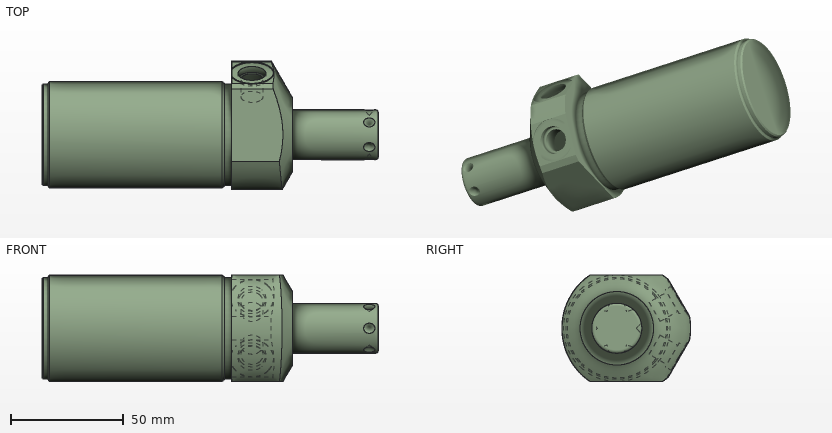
import cadquery as cq
import math

body_radius = 23.62
neck_radius = 22.6
rear_face_radius = 22.0
rear_chamfer_length = 0.6
rear_lip_end = 2.5
body_start = 3.2
body_end = 79.7
groove_start = 80.9

head_start = 84.0
head_end = 111.0
head_radius = 28.575
head_offset_y = 4.191
flat_distance = 23.685
nose_radius = 16.3
nose_half_angle = 60.0

port_angle = 30.0
port_x = 93.0
spotface_radius = 9.5
spotface_depth = 0.4
counterbore_radius = 6.15
counterbore_depth = 3.0
port_radius = 4.9
port_depth = 12.0
port_flat_distance = math.sqrt(head_radius**2 - spotface_radius**2)

rod_radius = 11.1
rod_end = 149.0
rod_tip_fillet = 1.3
dimple_x = 145.0
dimple_radius = 2.5
dimple_cone_angle = 90.0
dimple_count = 6

clearance = 1.0


def make_body():
    profile = [
        (0, 0),
        (0, rear_face_radius),
        (rear_chamfer_length, neck_radius),
        (rear_lip_end, neck_radius),
        (body_start, body_radius),
        (body_end, body_radius),
        (groove_start, neck_radius),
        (head_start, neck_radius),
        (head_start, 0),
    ]
    return cq.Workplane("XY").polyline(profile).close().revolve(360, (0, 0, 0), (1, 0, 0))


def port_frame(side):
    """Workplane centred on the tilted flat, facing outward; side is 1 (upper) or -1 (lower)."""
    angle = math.radians(port_angle)
    normal = (0, math.cos(angle), side * math.sin(angle))
    origin = (
        port_x,
        head_offset_y + port_flat_distance * normal[1],
        port_flat_distance * normal[2],
    )
    return cq.Workplane(cq.Plane(origin=origin, xDir=(1, 0, 0), normal=normal))


def make_nose_envelope():
    """Cone-fronted solid of revolution that bounds the head."""
    envelope_radius = head_radius + head_offset_y + clearance
    cone_length = (envelope_radius - nose_radius) / math.tan(math.radians(nose_half_angle))
    profile = [
        (head_start, 0),
        (head_start, envelope_radius),
        (head_end - cone_length, envelope_radius),
        (head_end, nose_radius),
        (head_end, 0),
    ]
    return cq.Workplane("XY").polyline(profile).close().revolve(360, (0, 0, 0), (1, 0, 0))


def make_head():
    head_length = head_end - head_start
    oversize = 4 * head_radius
    disc = (
        cq.Workplane("YZ", origin=(head_start, 0, 0))
        .center(head_offset_y, 0)
        .circle(head_radius)
        .extrude(head_length)
    )
    between_flats = cq.Workplane("XY").box(2 * head_end, oversize, 2 * flat_distance)
    head = disc.intersect(between_flats).intersect(make_nose_envelope())
    for side in (1, -1):
        outside_flat = port_frame(side).rect(oversize, oversize).extrude(head_radius)
        head = head.cut(outside_flat)
    return head


def cut_port(solid, side):
    spotface_floor = port_frame(side).workplane(offset=-spotface_depth)
    spotface = spotface_floor.circle(spotface_radius).extrude(spotface_depth + clearance)
    counterbore = spotface_floor.circle(counterbore_radius).extrude(-counterbore_depth)
    bore = spotface_floor.circle(port_radius).extrude(-port_depth)
    return solid.cut(spotface).cut(counterbore).cut(bore)


def make_rod():
    return (
        cq.Workplane("YZ", origin=(head_end, 0, 0))
        .circle(rod_radius)
        .extrude(rod_end - head_end)
        .faces(">X")
        .edges()
        .fillet(rod_tip_fillet)
    )


def make_dimple(angle):
    """Cone pointing at the rod axis, turned by angle degrees from +Y about the X axis."""
    slope = math.tan(math.radians(dimple_cone_angle / 2))
    apex = rod_radius - dimple_radius / slope
    top = rod_radius + clearance
    cone = cq.Solid.makeCone(
        0,
        (top - apex) * slope,
        top - apex,
        pnt=cq.Vector(dimple_x, apex, 0),
        dir=cq.Vector(0, 1, 0),
    )
    return cq.Workplane(cone.rotate(cq.Vector(0, 0, 0), cq.Vector(1, 0, 0), angle))


result = make_body().union(make_head()).union(make_rod())
for port_side in (1, -1):
    result = cut_port(result, port_side)
for index in range(dimple_count):
    result = result.cut(make_dimple(index * 360 / dimple_count))